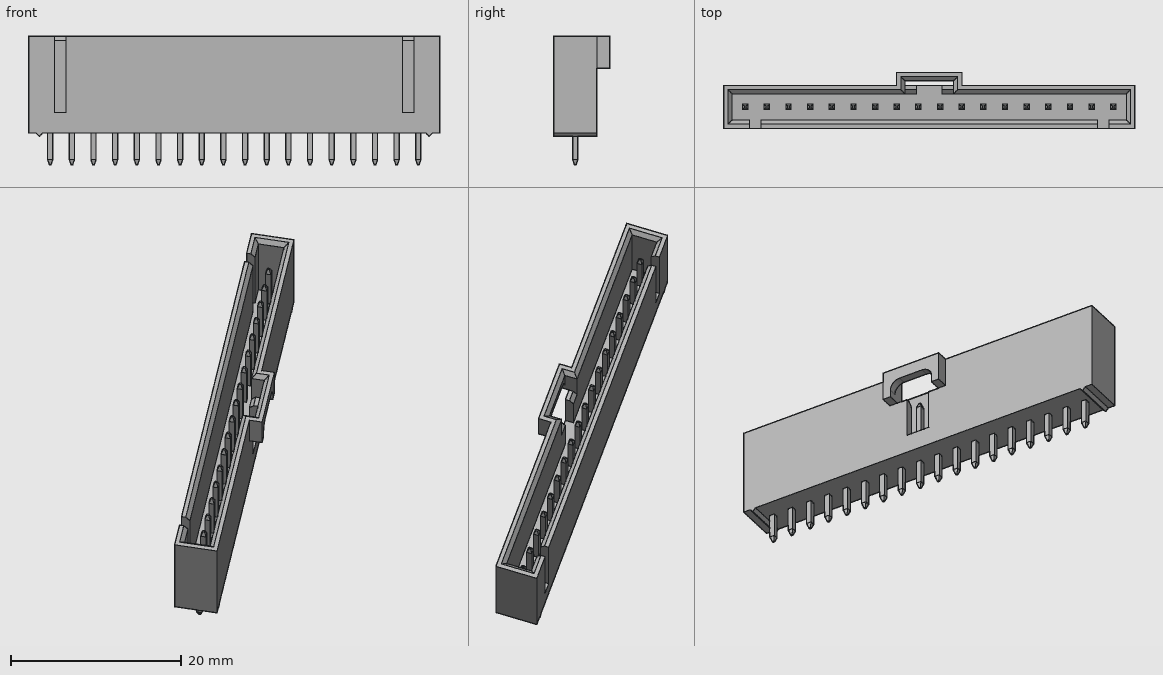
import cadquery as cq


housing_length = 48.26
housing_depth = 5.08
housing_height = 11.4
floor_thickness = 2.45
wall = 1.016
mouth_chamfer = 0.5

latch_length = 7.7
latch_projection = 1.52
latch_height = 3.8
latch_bridge_height = 1.6
latch_window_radius = 1.27
key_slot_width = 3.0

front_slot_width = 1.3
front_slot_end_distance = 3.07

pin_count = 18
pin_pitch = 2.54
pin_width = 0.635
pin_tip_width = 0.21
pin_tip_length = 0.62
pin_tail_length = 3.71
pin_contact_length = 6.0

ridge_width = 0.76
ridge_height = 0.38
ridge_end_distance = 1.27

cavity_length = housing_length - 2 * wall
cavity_depth = housing_depth - 2 * wall
back_face = housing_depth / 2
latch_opening_length = latch_length - 2 * wall
latch_back = back_face + latch_projection
ledge_height = housing_height - latch_height


def box_between(x_range, y_range, z_range):
    """Axis-aligned block given by its limits along X, Y and Z."""
    size = [high - low for low, high in (x_range, y_range, z_range)]
    corner = (x_range[0], y_range[0], z_range[0])
    return cq.Workplane("XY").box(*size, centered=False).translate(corner)


def centered_range(length):
    return (-length / 2, length / 2)


def flared_opening(x_range, y_range, bottom, top):
    """Rectangular opening that widens at 45 degrees up to its top."""
    length = x_range[1] - x_range[0]
    depth = y_range[1] - y_range[0]
    center = (sum(x_range) / 2, sum(y_range) / 2)
    straight = box_between(x_range, y_range, (bottom, top))
    flare = (
        cq.Workplane("XY", origin=(*center, top - mouth_chamfer))
        .rect(length, depth)
        .workplane(offset=mouth_chamfer)
        .rect(length + 2 * mouth_chamfer, depth + 2 * mouth_chamfer)
        .loft(ruled=True)
    )
    return straight.union(flare)


def make_housing():
    body = box_between(
        centered_range(housing_length), centered_range(housing_depth), (0, housing_height)
    )
    latch = box_between(
        centered_range(latch_length),
        (0, latch_back),
        (ledge_height, housing_height),
    )
    cavity = flared_opening(
        centered_range(cavity_length),
        centered_range(cavity_depth),
        floor_thickness,
        housing_height,
    )
    latch_opening = flared_opening(
        centered_range(latch_opening_length),
        (0, latch_back - wall),
        ledge_height,
        housing_height,
    )
    return body.union(latch).cut(cavity).cut(latch_opening)


def make_ledge_chamfer():
    """Wedge that bevels the inner edge of the low wall behind the latch."""
    inner_face = back_face - wall
    return (
        cq.Workplane("YZ", origin=(-latch_opening_length / 2, 0, 0))
        .moveTo(inner_face, ledge_height)
        .lineTo(inner_face + mouth_chamfer, ledge_height)
        .lineTo(inner_face, ledge_height - mouth_chamfer)
        .close()
        .extrude(latch_opening_length)
    )


def make_latch_window():
    """Window under the latch bridge, rounded at its two upper corners."""
    window = box_between(
        centered_range(latch_opening_length),
        (back_face, latch_back),
        (ledge_height, housing_height - latch_bridge_height),
    )
    return window.edges("|Y and >Z").fillet(latch_window_radius)


def make_key_slot():
    """Narrow slot carrying the latch opening down to the housing floor."""
    return box_between(
        centered_range(key_slot_width), (0, back_face), (floor_thickness, ledge_height)
    )


def make_front_slot(side):
    center_x = side * (housing_length / 2 - front_slot_end_distance - front_slot_width / 2)
    return box_between(
        centered_range(front_slot_width), (-back_face, 0), (floor_thickness, housing_height)
    ).translate((center_x, 0, 0))


def make_ridge(side):
    """Triangular standoff running the full depth of the housing."""
    return (
        cq.Workplane("XZ", origin=(side * (housing_length / 2 - ridge_end_distance), back_face, 0))
        .moveTo(-ridge_width / 2, 0)
        .lineTo(ridge_width / 2, 0)
        .lineTo(0, -ridge_height)
        .close()
        .extrude(housing_depth)
    )


def make_pin():
    """Square pin on the Z axis, tapered at both ends."""
    shaft_bottom = -pin_tail_length + pin_tip_length
    shaft_top = floor_thickness + pin_contact_length - pin_tip_length
    pin = box_between(
        centered_range(pin_width), centered_range(pin_width), (shaft_bottom, shaft_top)
    )
    for shaft_end, direction in ((shaft_bottom, -1), (shaft_top, 1)):
        tip = (
            cq.Workplane("XY", origin=(0, 0, shaft_end))
            .rect(pin_width, pin_width)
            .workplane(offset=direction * pin_tip_length)
            .rect(pin_tip_width, pin_tip_width)
            .loft(ruled=True)
        )
        pin = pin.union(tip)
    return pin


result = make_housing().cut(make_latch_window())
result = result.cut(make_ledge_chamfer()).cut(make_key_slot())

for side in (-1, 1):
    result = result.cut(make_front_slot(side)).union(make_ridge(side))

pin = make_pin()
for index in range(pin_count):
    pin_x = (index - (pin_count - 1) / 2) * pin_pitch
    result = result.union(pin.translate((pin_x, 0, 0)))